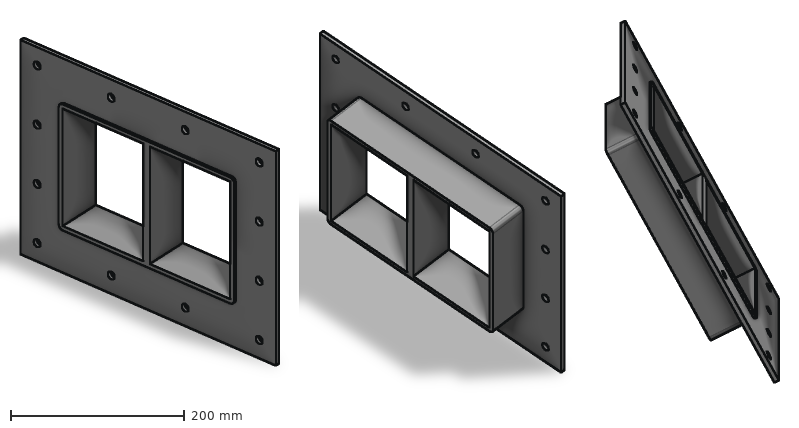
import cadquery as cq

window_width = 120.5
window_height = 159.5
wall = 6.0
divider = 10.0
frame_depth = 60.0
frame_front_overhang = 3.0
frame_corner_radius = 6.0
frame_width = 2 * window_width + divider + 2 * wall
frame_height = window_height + 2 * wall

flange_margin = 60.0
plate_thickness = 6.0
plate_width = frame_width + 2 * flange_margin
plate_height = frame_height + 2 * flange_margin

hole_diameter = 10.0
hole_edge_distance = 25.0
holes_per_side = 4

frame_front_y = -frame_front_overhang


def block(width, depth, height, front_y):
    """Box centred on X and Z that extends in +Y from front_y."""
    box = cq.Workplane("XY").box(width, depth, height, centered=(True, False, True))
    return box.translate((0, front_y, 0))


def bolt_hole_centres():
    """Evenly spaced (x, z) points around the rim of the plate."""
    span_x = plate_width - 2 * hole_edge_distance
    span_z = plate_height - 2 * hole_edge_distance
    last = holes_per_side - 1
    centres = []
    for column in range(holes_per_side):
        for row in range(holes_per_side):
            if column in (0, last) or row in (0, last):
                x = span_x * (column / last - 0.5)
                z = span_z * (row / last - 0.5)
                centres.append((x, z))
    return centres


def make_plate():
    plate = block(plate_width, plate_thickness, plate_height, 0)
    holes = (
        cq.Workplane("XZ")
        .pushPoints(bolt_hole_centres())
        .circle(hole_diameter / 2)
        .extrude(-plate_thickness)
    )
    return plate.cut(holes)


def make_frame():
    frame = block(frame_width, frame_depth, frame_height, frame_front_y)
    return frame.edges("|Y").fillet(frame_corner_radius)


def cut_windows(body):
    """Cut the two square-cornered openings on either side of the divider."""
    window_offset = (window_width + divider) / 2
    for side in (-1, 1):
        window = block(window_width, frame_depth, window_height, frame_front_y)
        body = body.cut(window.translate((side * window_offset, 0, 0)))
    return body


result = cut_windows(make_plate().union(make_frame()))